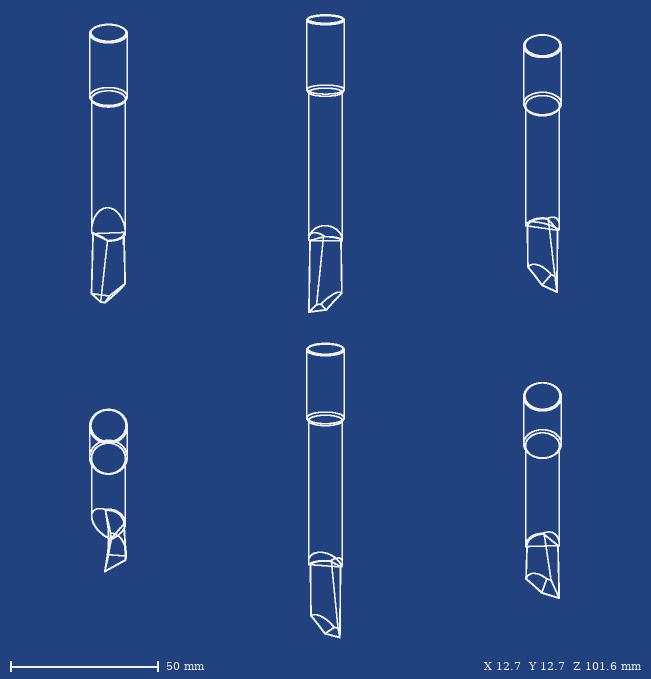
import cadquery as cq
import math

total_length = 101.6
shank_radius = 6.35
shank_bottom = 77.0
shank_top_chamfer = 0.4
neck_radius = 5.74
neck_top = 76.1
neck_bottom = 24.4

blade_root_radius = 5.3
blade_tip_radius = 6.1
blade_twist = 23.0
tip_edge_angle = 181.5
front_flat_span = 81.5
back_flat_span = 180.0

end_relief_slope = 0.1
end_side_slope = 0.03
corner_start = 0.1

back_runout_slope = 1.15
front_runout_slope = 1.0

block_size = 8 * shank_radius


def polar(radius, angle):
    """Point on a circle around the Z axis, angle in degrees."""
    return (radius * math.cos(math.radians(angle)), radius * math.sin(math.radians(angle)))


def blade_section(z, radius, edge_angle):
    """Round section with a front flat and a back flat meeting at the cutting edge."""
    front_end = edge_angle + front_flat_span
    back_start = edge_angle + back_flat_span
    return (
        cq.Workplane("XY", origin=(0, 0, z))
        .moveTo(*polar(radius, edge_angle))
        .lineTo(*polar(radius, front_end))
        .threePointArc(polar(radius, (front_end + back_start) / 2), polar(radius, back_start))
        .close()
        .val()
    )


def slab(origin, normal):
    """Large block lying on the side of a plane that its normal points to."""
    plane = cq.Plane(origin=origin, normal=normal)
    return cq.Workplane(plane).rect(block_size, block_size).extrude(block_size)


def runout_cut(span, slope):
    """Sloping cut that carries a blade flat out through the side of the neck."""
    half_span = span / 2
    depth = blade_root_radius * math.cos(math.radians(half_span))
    direction = tip_edge_angle + blade_twist + half_span
    x, y = polar(depth, direction)
    normal_x, normal_y = polar(slope, direction)
    return slab((x, y, neck_bottom), (normal_x, normal_y, -1))


profile = [
    (0, neck_bottom),
    (neck_radius, neck_bottom),
    (neck_radius, neck_top),
    (shank_radius, shank_bottom),
    (shank_radius, total_length - shank_top_chamfer),
    (shank_radius - shank_top_chamfer, total_length),
    (0, total_length),
]
body = cq.Workplane("XZ").polyline(profile).close().revolve(360, (0, 0), (0, 1))
body = body.cut(runout_cut(front_flat_span, front_runout_slope))
body = body.cut(runout_cut(-back_flat_span, back_runout_slope))

tip = blade_section(0, blade_tip_radius, tip_edge_angle)
root = blade_section(neck_bottom, blade_root_radius, tip_edge_angle + blade_twist)
blade = cq.Workplane(cq.Solid.makeLoft([tip, root], True))

cutting_x, cutting_y = polar(blade_tip_radius, tip_edge_angle)
blade = blade.cut(slab((cutting_x, cutting_y, 0), (end_side_slope, -end_relief_slope, -1)))
blade = blade.cut(slab((corner_start, 0, 0), (1, 0, -1)))

result = body.union(blade)